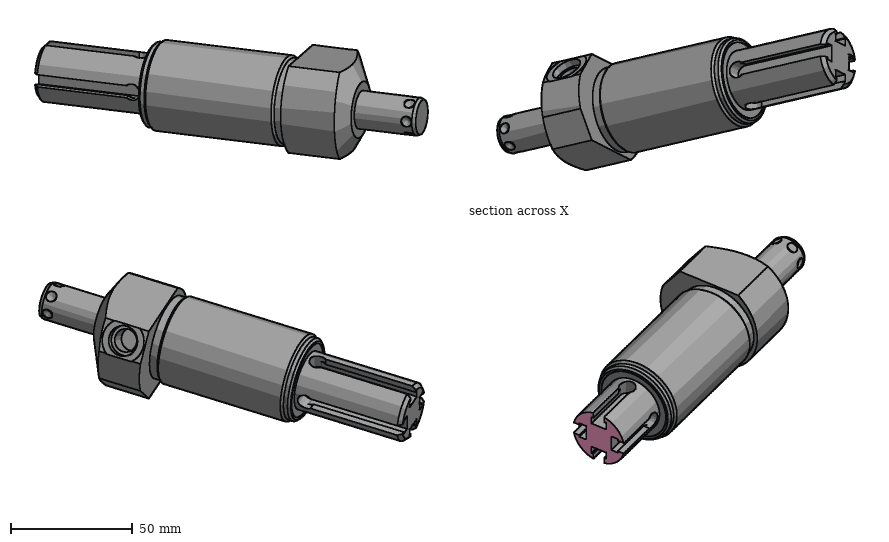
import cadquery as cq
import math

shaft_start = 0.0
collar_start = 47.9
body_start = 50.7
body_end = 107.8
head_start = 111.3
head_end = 139.4
tip_end = 166.2

shaft_radius = 12.6
collar_radius = 18.0
body_radius = 19.0
neck_radius = 8.0

recess_radius = 16.0
recess_depth = 0.3

shaft_chamfer = 1.7
collar_chamfer = 1.0
body_chamfer = body_radius - collar_radius
tip_chamfer_length = 1.5
tip_chamfer_depth = 0.7

head_width = 47.7
head_radius = head_width / 2
head_right_reach = 19.6
head_offset = head_radius - head_right_reach
head_half_height = body_radius
cone_end_radius = 11.8
cone_angle = 60.0
head_corner_y = math.sqrt(head_radius**2 - head_half_height**2)
slant_start_y = 14.3
slant_end_y = 22.6
slant_end_z = math.sqrt(head_radius**2 - slant_end_y**2)

port_x = 121.1
spot_radius = 9.1
spot_depth = 0.08
spot_clearance = 1.7
counterbore_radius = 6.3
counterbore_depth = 3.3
port_radius = 4.8
port_depth = 11.6

slot_count = 4
slot_mouth = 5.3
slot_width = 7.0
slot_floor = 6.3
slot_shoulder = 9.5
slot_end = 43.2

dimple_count = 6
dimple_x = 162.2
dimple_diameter = 4.5
dimple_radius = dimple_diameter / 2
dimple_wall_depth = 0.5
drill_point_angle = 118.0


def turned_body():
    """Revolve every section that is concentric with the X axis."""
    profile = [
        (shaft_start, 0),
        (shaft_start, shaft_radius - shaft_chamfer),
        (shaft_start + shaft_chamfer, shaft_radius),
        (collar_start + recess_depth, shaft_radius),
        (collar_start + recess_depth, recess_radius),
        (collar_start, recess_radius),
        (collar_start, collar_radius - collar_chamfer),
        (collar_start + collar_chamfer, collar_radius),
        (body_start, collar_radius),
        (body_start + body_chamfer, body_radius),
        (body_end - body_chamfer, body_radius),
        (body_end, collar_radius),
        (head_start, collar_radius),
        (head_end, neck_radius),
        (tip_end - tip_chamfer_length, neck_radius),
        (tip_end, neck_radius - tip_chamfer_depth),
        (tip_end, 0),
    ]
    return cq.Workplane("XY").polyline(profile).close().revolve(360, (0, 0, 0), (1, 0, 0))


def head():
    """Extrude the head outline and trim its far end to a cone about the X axis."""
    top = head_half_height
    right_y = head_offset - head_corner_y
    left_y = head_offset + slant_start_y
    slant_y = head_offset + slant_end_y
    outline = (
        cq.Workplane("YZ", origin=(head_start, 0, 0))
        .moveTo(right_y, top)
        .lineTo(left_y, top)
        .lineTo(slant_y, slant_end_z)
        .threePointArc((head_offset + head_radius, 0), (slant_y, -slant_end_z))
        .lineTo(left_y, -top)
        .lineTo(right_y, -top)
        .threePointArc((-head_right_reach, 0), (right_y, top))
        .close()
    )
    block = outline.extrude(head_end - head_start)
    cone_base_radius = cone_end_radius + (head_end - head_start) * math.tan(math.radians(cone_angle))
    cone = (
        cq.Workplane("XY")
        .polyline([
            (head_start, 0),
            (head_start, cone_base_radius),
            (head_end, cone_end_radius),
            (head_end, 0),
        ])
        .close()
        .revolve(360, (0, 0, 0), (1, 0, 0))
    )
    return block.intersect(cone)


def air_port():
    """Stepped hole square to the middle of the upper slanted face."""
    middle_y = head_offset + (slant_start_y + slant_end_y) / 2
    middle_z = (head_half_height + slant_end_z) / 2
    normal = cq.Vector(0, head_half_height - slant_end_z, slant_end_y - slant_start_y)
    face = cq.Plane(origin=(port_x, middle_y, middle_z), xDir=(1, 0, 0), normal=normal)
    tool = cq.Workplane(face).circle(port_radius).extrude(-port_depth)
    tool = tool.union(cq.Workplane(face).circle(counterbore_radius).extrude(-counterbore_depth))
    spot_face = cq.Workplane(face).workplane(offset=-spot_depth).circle(spot_radius).extrude(spot_clearance)
    return tool.union(spot_face)


def shaft_slot():
    """T-slot open at the shaft end, closed by a round cutter entry."""
    length = slot_end - shaft_start
    depth = shaft_radius - slot_floor
    floor = cq.Workplane("XY", origin=(shaft_start, 0, slot_floor))
    undercut = floor.rect(2 * length, slot_width).extrude(slot_shoulder - slot_floor)
    mouth = floor.rect(2 * length, slot_mouth).extrude(depth)
    entry = floor.center(slot_end, 0).circle(slot_width / 2).extrude(depth)
    return undercut.union(mouth).union(entry)


def tip_dimple():
    """Shallow radial hole with a drill point, entering the tip from the -Y side."""
    point_length = dimple_radius / math.tan(math.radians(drill_point_angle / 2))
    outer_y = -neck_radius - dimple_radius
    wall_end_y = -neck_radius + dimple_wall_depth
    profile = [
        (dimple_x, outer_y),
        (dimple_x + dimple_radius, outer_y),
        (dimple_x + dimple_radius, wall_end_y),
        (dimple_x, wall_end_y + point_length),
    ]
    return (
        cq.Workplane("XY")
        .polyline(profile)
        .close()
        .revolve(360, (dimple_x, 0, 0), (dimple_x, 1, 0))
    )


def cut_around_axis(part, tool, count):
    """Cut evenly spaced copies of a tool around the X axis."""
    for index in range(count):
        part = part.cut(tool.rotate((0, 0, 0), (1, 0, 0), index * 360 / count))
    return part


result = turned_body().union(head()).cut(air_port())
result = cut_around_axis(result, shaft_slot(), slot_count)
result = cut_around_axis(result, tip_dimple(), dimple_count)